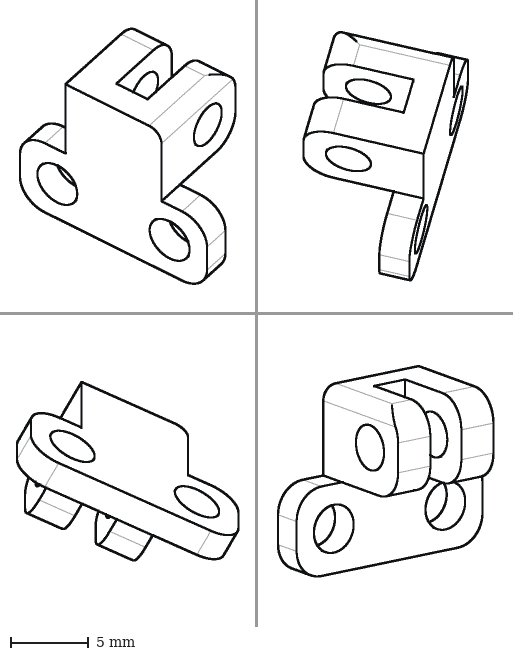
import cadquery as cq

plate_width = 15.0
plate_height = 6.0
plate_thickness = 2.0
plate_corner_radius = 2.0
screw_hole_diameter = 3.2
screw_hole_spacing = 9.0

slot_width = 2.5
arm_width = 2.6
clevis_width = slot_width + 2 * arm_width
clevis_height = 6.0
clevis_depth = 8.0
clevis_corner_radius = 2.0
side_edge_radius = 1.0
pin_hole_diameter = 3.0
pin_hole_y = clevis_depth - clevis_height / 2
pin_hole_z = plate_height + clevis_height / 2


def make_plate():
    """Plate with four rounded corners and two screw holes."""
    plate = (
        cq.Workplane("XY")
        .box(plate_width, plate_thickness, plate_height, centered=(True, False, False))
        .edges("|Y")
        .fillet(plate_corner_radius)
    )
    screw_holes = (
        cq.Workplane("XZ", origin=(0, 0, plate_height / 2))
        .pushPoints([(-screw_hole_spacing / 2, 0), (screw_hole_spacing / 2, 0)])
        .circle(screw_hole_diameter / 2)
        .extrude(-plate_thickness)
    )
    return plate.cut(screw_holes)


def clevis_block():
    """Plain block enclosing the clevis, resting on the plate's top edge."""
    return cq.Workplane("XY", origin=(0, 0, plate_height)).box(
        clevis_width, clevis_depth, clevis_height, centered=(True, False, False)
    )


def make_clevis():
    """Two-armed clevis with rounded arm ends, a cross pin hole and one rounded top edge."""
    arm_profile = clevis_block().edges("|X and >Y").fillet(clevis_corner_radius)
    edge_profile = clevis_block().edges("|Y and >X and >Z").fillet(side_edge_radius)
    clevis = arm_profile.intersect(edge_profile)

    slot = cq.Workplane("XY", origin=(0, plate_thickness, plate_height)).box(
        slot_width, clevis_depth - plate_thickness, clevis_height, centered=(True, False, False)
    )
    pin_hole = (
        cq.Workplane("YZ", origin=(0, pin_hole_y, pin_hole_z))
        .circle(pin_hole_diameter / 2)
        .extrude(clevis_width / 2, both=True)
    )
    return clevis.cut(slot).cut(pin_hole)


result = make_plate().union(make_clevis())